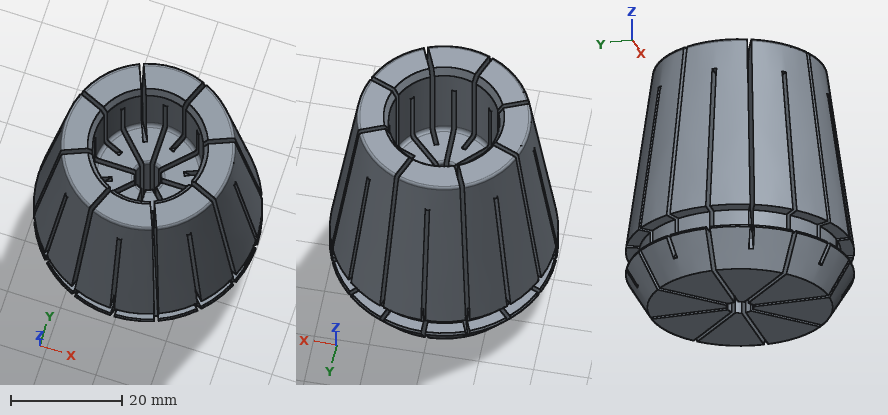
import cadquery as cq
import math

height = 46.0
max_diameter = 41.1
max_radius = max_diameter / 2

nose_radius = 16.65
rim_height = 6.6
flange_height = 7.05
rim_chamfer_width = 0.28

groove_radius = 18.12
cone_base_height = 11.0

cone_half_angle = 8.0
top_edge_round = 0.5

grip_radius = 2.45
grip_mouth_round = 0.55
relief_radius = 10.0
relief_mouth_radius = 10.85
mouth_height = 1.45
relief_floor_round = 0.75
relief_floor_height = 28.05

slots_per_end = 8
slot_width = 0.8
lower_slot_top = 39.95
upper_slot_floor_outer = 3.15
upper_slot_floor_end_radius = 6.5

slot_pitch = 360 / slots_per_end


def outer_body():
    cone_rise = height - cone_base_height
    cone_top_radius = max_radius - cone_rise * math.tan(math.radians(cone_half_angle))
    return (
        cq.Workplane("XZ")
        .moveTo(0, 0)
        .lineTo(nose_radius, 0)
        .lineTo(max_radius, rim_height)
        .lineTo(max_radius - rim_chamfer_width, flange_height)
        .lineTo(groove_radius, flange_height)
        .lineTo(groove_radius, cone_base_height)
        .lineTo(max_radius, cone_base_height)
        .lineTo(cone_top_radius, height)
        .lineTo(0, height)
        .close()
        .revolve(360, (0, 0), (0, 1))
        .faces(">Z")
        .edges()
        .fillet(top_edge_round)
    )


def stepped_bore():
    return (
        cq.Workplane("XZ")
        .moveTo(0, 0)
        .lineTo(grip_radius, 0)
        .lineTo(grip_radius, relief_floor_height - grip_mouth_round)
        .tangentArcPoint((grip_mouth_round, grip_mouth_round))
        .lineTo(relief_radius - relief_floor_round, relief_floor_height)
        .tangentArcPoint((relief_floor_round, relief_floor_round))
        .lineTo(relief_radius, height - mouth_height)
        .lineTo(relief_mouth_radius, height)
        .lineTo(0, height)
        .close()
        .revolve(360, (0, 0), (0, 1))
    )


def lower_slot():
    return cq.Workplane("XY").box(
        max_radius, slot_width, lower_slot_top, centered=(False, True, False)
    )


def upper_slot():
    nose_slope = (max_radius - nose_radius) / rim_height
    floor_outer_radius = nose_radius + nose_slope * upper_slot_floor_outer
    return (
        cq.Workplane("XZ")
        .moveTo(upper_slot_floor_end_radius, height)
        .lineTo(upper_slot_floor_end_radius, relief_floor_height)
        .lineTo(floor_outer_radius, upper_slot_floor_outer)
        .lineTo(max_radius, upper_slot_floor_outer)
        .lineTo(max_radius, height)
        .close()
        .extrude(slot_width / 2, both=True)
    )


result = outer_body().cut(stepped_bore())
for index in range(slots_per_end):
    lower_angle = index * slot_pitch
    upper_angle = lower_angle + slot_pitch / 2
    result = result.cut(lower_slot().rotate((0, 0, 0), (0, 0, 1), lower_angle))
    result = result.cut(upper_slot().rotate((0, 0, 0), (0, 0, 1), upper_angle))